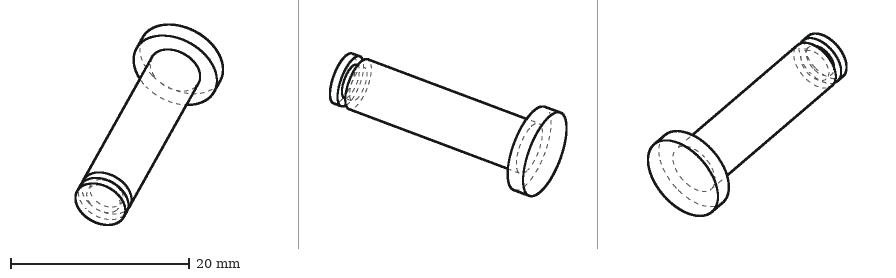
import cadquery as cq

total_length = 26.0
head_diameter = 10.0
head_thickness = 2.0
shank_diameter = 6.0
groove_diameter = 4.0
groove_width = 1.0
tip_thickness = 1.0

head_start = total_length - head_thickness
groove_end = tip_thickness + groove_width


def disc(diameter, start, end):
    """Solid cylinder on the Y axis between two Y positions."""
    base = cq.Workplane("XZ", origin=(0, start, 0))
    return base.circle(diameter / 2).extrude(start - end)


tip = disc(shank_diameter, 0, tip_thickness)
groove_core = disc(groove_diameter, tip_thickness, groove_end)
shank = disc(shank_diameter, groove_end, head_start)
head = disc(head_diameter, head_start, total_length)

result = tip.union(groove_core).union(shank).union(head)